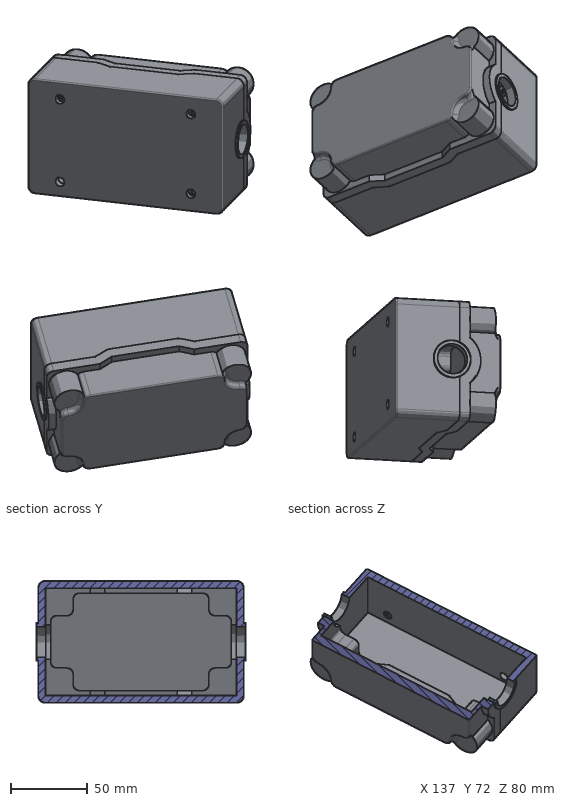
import cadquery as cq
import math

overall_length = 137.0
collar_height = 1.16
box_length = overall_length - 2 * collar_height
box_height = 80.0
corner_radius = 4.8
edge_radius = 1.0
wall = 5.0
floor_thickness = 6.0

parting_depth = 43.0
flange_thickness = 7.0
flange_top = parting_depth + flange_thickness
lid_top = 72.0

dip_depth = 4.8
base_dip_half_top = 33.3
base_dip_half_bottom = 23.7
flange_dip_half_top = 31.5
flange_dip_half_bottom = 22.6

entry_depth = 37.8
entry_diameter = 20.0
collar_diameter = 25.0
arch_radius = collar_diameter / 2 + flange_thickness

block_inset = 5.1
block_half_length = box_length / 2 - block_inset
block_half_height = box_height / 2 - block_inset
recess_radius = 10.0
recess_wall_x = block_half_length - corner_radius - recess_radius
recess_wall_z = block_half_height - corner_radius - recess_radius
recess_depth = 4.1
recess_floor = lid_top - recess_depth
recess_floor_radius = 2.9
boss_radius = 10.4
boss_x = 55.5
boss_z = 28.0
lid_wall = 3.0
lid_cavity_radius = 4.1

mount_diameter = 6.0
mount_step_depth = 4.5
mount_x = 45.2
mount_z = 27.7
low_mount_z = 29.7
mount_shift = 1.6
mount_holes = [
    (-mount_x, mount_z, 0, mount_shift),
    (mount_x, mount_z, mount_shift, 0),
    (mount_x, -mount_z, mount_shift, 0),
    (-mount_x, -low_mount_z, 0, 0),
]

corner_signs = [(sx, sz) for sx in (-1, 1) for sz in (-1, 1)]
reach = overall_length


def depth_plane(depth):
    """Plane parallel to XZ at Y = depth; local x is X, local y is Z, extrusion goes to -Y."""
    return cq.Workplane("XZ", origin=(0, depth, 0))


def block_between(half_x, half_z, depth_from, depth_to):
    """Rectangular prism centred on the Y axis."""
    return depth_plane(depth_to).rect(2 * half_x, 2 * half_z).extrude(depth_to - depth_from)


def cylinder_along_y(x, z, radius, depth_from, depth_to):
    return depth_plane(depth_to).center(x, z).circle(radius).extrude(depth_to - depth_from)


def cylinder_along_x(radius, half_length):
    """Cylinder on the cable-entry axis, centred on X = 0."""
    return (cq.Workplane("YZ", origin=(-half_length, 0, 0)).center(entry_depth, 0)
            .circle(radius).extrude(2 * half_length))


def box_envelope(depth):
    """Outer box from the mounting face to the given depth, with rounded corners."""
    return block_between(box_length / 2, box_height / 2, 0, depth).edges("|Y").fillet(corner_radius)


def below_stepped_edge(depth, dip_half_top, dip_half_bottom):
    """Everything below a level that dips in the middle of the long sides."""
    return (cq.Workplane("XY", origin=(0, 0, -box_height / 2))
            .polyline([
                (-reach, -reach), (reach, -reach), (reach, depth),
                (dip_half_top, depth), (dip_half_bottom, depth - dip_depth),
                (-dip_half_bottom, depth - dip_depth), (-dip_half_top, depth),
                (-reach, depth),
            ]).close().extrude(box_height))


def mirrored_to(corner, sx, sz):
    """Move a tool made for the +X +Z corner to another corner."""
    if sx < 0:
        corner = corner.mirror("YZ")
    if sz < 0:
        corner = corner.mirror("XY")
    return corner


base_zone = below_stepped_edge(parting_depth, base_dip_half_top, base_dip_half_bottom)
flange_zone = below_stepped_edge(flange_top, flange_dip_half_top, flange_dip_half_bottom)
cavity_half_length = box_length / 2 - wall
cavity_half_height = box_height / 2 - wall


def cable_collars():
    """Discs at both ends, from the inside of the end walls to the outer collar faces."""
    full_length = cylinder_along_x(collar_diameter / 2, overall_length / 2)
    return full_length.cut(cylinder_along_x(collar_diameter, cavity_half_length))


def make_base():
    base = box_envelope(flange_top).faces("<Y").edges().fillet(edge_radius).intersect(base_zone)
    base = base.cut(block_between(cavity_half_length, cavity_half_height, floor_thickness, lid_top))
    base = base.union(cable_collars()).cut(cylinder_along_x(entry_diameter / 2, reach))
    for x, z, shift_x, shift_z in mount_holes:
        base = base.cut(cylinder_along_y(x, z, mount_diameter / 2, 0, mount_step_depth))
        base = base.cut(cylinder_along_y(x + shift_x, z + shift_z, mount_diameter / 2,
                                         mount_step_depth, floor_thickness))
    return base


def raised_block():
    """Block with a notch at each corner that the bosses fill: a long bar and a taller middle."""
    low = parting_depth - dip_depth
    long_bar = block_between(block_half_length, boss_z, low, lid_top)
    middle = block_between(recess_wall_x, block_half_height, low, lid_top).edges("|Y").fillet(corner_radius)
    return long_bar.union(middle)


def lid_cavity():
    """Hollow of the lid, kept one wall thickness inside the block and clear of the bosses."""
    roof = recess_floor - lid_wall
    long_bar = block_between(block_half_length - lid_wall, recess_wall_z - lid_wall, 0, roof)
    middle = block_between(recess_wall_x - lid_wall, block_half_height - lid_wall, 0, roof)
    return long_bar.union(middle).edges("|Y").fillet(lid_cavity_radius)


def boss_recess():
    """Cutter for the recess above the boss in the +X +Z corner, with a rounded floor edge."""
    bend = math.sqrt(0.5)
    margin = 6.8
    inner_x = recess_wall_x - corner_radius
    inner_z = recess_wall_z - corner_radius
    arc_x = block_half_length - corner_radius
    arc_z = block_half_height - corner_radius
    cutter = (
        depth_plane(lid_top)
        .moveTo(inner_x - margin, block_half_height)
        .lineTo(inner_x, block_half_height)
        .threePointArc((inner_x + corner_radius * bend, arc_z + corner_radius * bend),
                       (recess_wall_x, arc_z))
        .threePointArc((arc_x - recess_radius * bend, arc_z - recess_radius * bend),
                       (arc_x, recess_wall_z))
        .threePointArc((arc_x + corner_radius * bend, inner_z + corner_radius * bend),
                       (block_half_length, inner_z))
        .lineTo(block_half_length, inner_z - margin)
        .lineTo(box_length, inner_z - margin)
        .lineTo(box_length, box_height)
        .lineTo(inner_x - margin, box_height)
        .close().extrude(recess_depth)
    )
    wall_foot = cq.selectors.BoxSelector(
        (inner_x - margin, recess_floor - edge_radius, inner_z - margin),
        (block_half_length + edge_radius, recess_floor + edge_radius, block_half_height + edge_radius))
    return cutter.edges(wall_foot).fillet(recess_floor_radius)


def make_lid():
    block = raised_block()
    for sx, sz in corner_signs:
        block = block.union(cylinder_along_y(sx * boss_x, sz * boss_z, boss_radius, parting_depth, lid_top))
    recess = boss_recess()
    for sx, sz in corner_signs:
        block = block.cut(mirrored_to(recess, sx, sz))
    block = block.faces(">Y").edges().fillet(edge_radius)

    rim = box_envelope(flange_top).intersect(flange_zone)
    arches = cylinder_along_x(arch_radius, box_length / 2)
    lid = block.union(rim).union(arches).cut(base_zone)
    collar_seat = cylinder_along_x(collar_diameter / 2, overall_length / 2)
    return lid.cut(lid_cavity()).cut(collar_seat)


base = make_base()
lid = make_lid()

result = cq.Compound.makeCompound([base.solids().val(), lid.solids().val()])